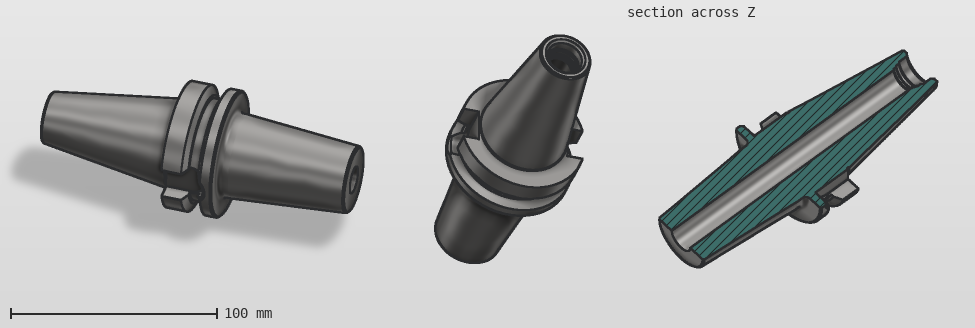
import cadquery as cq

total_length = 155.4
gauge_x = 65.1
relief_x = 65.9
flange_x = 67.0
flange_end_x = 92.5
groove_start_x = 79.3
groove_end_x = 84.4
groove_bevel = 2.3
nose_fillet_end_x = 95.1
nose_taper_x = 97.9

taper_small_radius = 12.9
taper_large_radius = 22.2
relief_radius = 21.9
flange_radius = 31.47
groove_rim_radius = 26.9
groove_radius = 25.3
nose_large_radius = 20.8
nose_small_radius = 16.6

tail_chamfer = 0.8
nose_chamfer = 0.8
flange_chamfer = 0.8

mouth_radius = 10.1
mouth_depth = 1.2
counterbore_radius = 8.7
counterbore_depth = 6.2
thread_radius = 8.0
thread_depth = 9.2
seat_radius = 7.3
seat_depth = 10.9
bore_radius = 6.7

slot_radius = 8.2
slot_centre_x = 79.7
slot_floor = 22.5
slot_chamfer_start = 30.1
slot_chamfer_angle = 45.0
slot_clearance = 1.5


def make_body():
    """Revolve the taper shank, grooved flange and nose about the X axis."""
    nose_fillet = nose_fillet_end_x - flange_end_x
    fillet_centre_radius = nose_large_radius + nose_fillet
    diagonal = nose_fillet * 0.5 ** 0.5
    fillet_middle = (nose_fillet_end_x - diagonal, fillet_centre_radius - diagonal)
    return (
        cq.Workplane("XZ")
        .moveTo(0, 0)
        .lineTo(0, taper_small_radius - tail_chamfer)
        .lineTo(tail_chamfer, taper_small_radius)
        .lineTo(gauge_x, taper_large_radius)
        .lineTo(relief_x, taper_large_radius)
        .lineTo(relief_x, relief_radius)
        .lineTo(flange_x, relief_radius)
        .lineTo(flange_x, flange_radius)
        .lineTo(groove_start_x - groove_bevel, flange_radius)
        .lineTo(groove_start_x, groove_rim_radius)
        .lineTo(groove_start_x, groove_radius)
        .lineTo(groove_end_x, groove_radius)
        .lineTo(groove_end_x, groove_rim_radius)
        .lineTo(groove_end_x + groove_bevel, flange_radius)
        .lineTo(flange_end_x - flange_chamfer, flange_radius)
        .lineTo(flange_end_x, flange_radius - flange_chamfer)
        .lineTo(flange_end_x, fillet_centre_radius)
        .threePointArc(fillet_middle, (nose_fillet_end_x, nose_large_radius))
        .lineTo(nose_taper_x, nose_large_radius)
        .lineTo(total_length - nose_chamfer, nose_small_radius)
        .lineTo(total_length, nose_small_radius - nose_chamfer)
        .lineTo(total_length, 0)
        .close()
        .revolve(360, (0, 0, 0), (1, 0, 0))
    )


def make_bore():
    """Revolve the stepped through bore, widest at the shank end."""
    seat_cone = seat_radius - bore_radius
    return (
        cq.Workplane("XZ")
        .moveTo(0, 0)
        .lineTo(0, mouth_radius)
        .lineTo(mouth_depth, counterbore_radius)
        .lineTo(counterbore_depth, counterbore_radius)
        .lineTo(counterbore_depth + counterbore_radius - thread_radius, thread_radius)
        .lineTo(thread_depth, thread_radius)
        .lineTo(thread_depth, seat_radius)
        .lineTo(seat_depth, seat_radius)
        .lineTo(seat_depth + seat_cone, bore_radius)
        .lineTo(total_length, bore_radius)
        .lineTo(total_length, 0)
        .close()
        .revolve(360, (0, 0, 0), (1, 0, 0))
    )


def slot_outline(floor):
    """Draw the round-ended slot on the plane at y = -floor, open toward -X."""
    open_end_x = flange_x - slot_clearance
    return (
        cq.Workplane("XZ", origin=(0, -floor, 0))
        .moveTo(open_end_x, -slot_radius)
        .lineTo(slot_centre_x, -slot_radius)
        .threePointArc((slot_centre_x + slot_radius, 0), (slot_centre_x, slot_radius))
        .lineTo(open_end_x, slot_radius)
        .close()
    )


def make_slot():
    """Build the -Y drive slot cutter with its flared rim."""
    cutter_top = flange_radius + slot_clearance
    straight = slot_outline(slot_floor).extrude(cutter_top - slot_floor)
    flare = slot_outline(slot_chamfer_start).extrude(
        cutter_top - slot_chamfer_start, taper=-slot_chamfer_angle
    )
    return straight.union(flare)


slot = make_slot()
result = make_body().cut(make_bore()).cut(slot).cut(slot.mirror("XZ"))